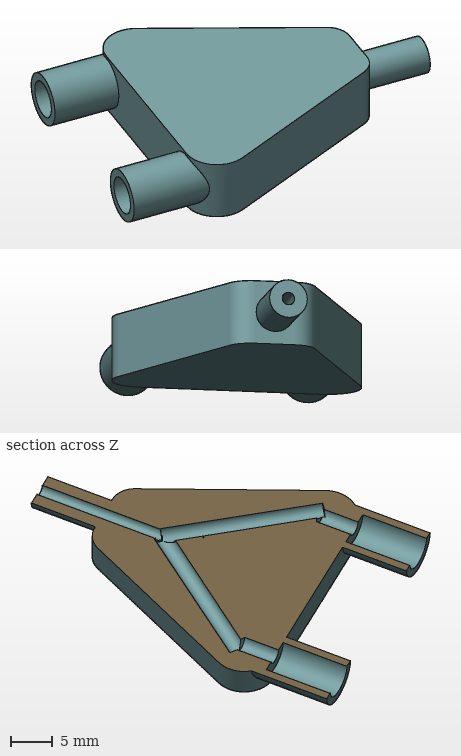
import cadquery as cq
import math

body_width = 30.3
body_thickness = 7.65
tube_length = 8.45
total_length = 45.0
body_length = total_length - 2 * tube_length
side_angle = math.radians(25)
wide_corner_radius = 4.0
narrow_corner_radius = 3.0

single_tube_diameter = 4.6
single_bore_diameter = 1.5
twin_tube_diameter = 6.6
twin_bore_diameter = 4.6
twin_tube_x = 11.0
twin_tube_z = 0.2
tube_overlap = wide_corner_radius

passage_diameter = 2.05
passage_depth = 4.5
drill_tip_slope = math.radians(31)
drill_tip_height = passage_diameter / 2 * math.tan(drill_tip_slope)
junction_y = 20.25
slant_offset = 1.0


def cylinder(start, end, diameter):
    """Solid cylinder between two points."""
    axis = cq.Vector(*end) - cq.Vector(*start)
    solid = cq.Solid.makeCylinder(diameter / 2, axis.Length, cq.Vector(*start), axis)
    return cq.Workplane(obj=solid)


def make_body():
    corner_half_angle = (math.pi / 2 - side_angle) / 2
    arc_center_x = body_width / 2 - wide_corner_radius
    wide_half = arc_center_x + wide_corner_radius / math.tan(corner_half_angle)
    narrow_half = wide_half - body_length * math.tan(side_angle)
    outline = [
        (-wide_half, 0),
        (wide_half, 0),
        (narrow_half, body_length),
        (-narrow_half, body_length),
    ]
    block = (
        cq.Workplane("XY", origin=(0, 0, -body_thickness / 2))
        .polyline(outline)
        .close()
        .extrude(body_thickness)
    )
    block = block.edges("|Z").edges("<Y").fillet(wide_corner_radius)
    return block.edges("|Z").edges(">Y").fillet(narrow_corner_radius)


def twin_passage(x):
    """Stepped bore of one twin tube, continuing at an angle to the junction."""
    bore = cylinder((x, -tube_length, twin_tube_z), (x, 0, twin_tube_z), twin_bore_diameter)
    turn = (x, passage_depth, twin_tube_z)
    straight = cylinder((x, 0, twin_tube_z), turn, passage_diameter)
    tip = cq.Workplane(
        obj=cq.Solid.makeCone(
            passage_diameter / 2, 0, drill_tip_height, cq.Vector(*turn), cq.Vector(0, 1, 0)
        )
    )
    slant_start = (x + math.copysign(slant_offset, x), passage_depth, twin_tube_z)
    slanted = cylinder(slant_start, (0, junction_y, 0), passage_diameter)
    return bore.union(straight).union(tip).union(slanted)


narrow_edge_y = body_length
tube_end_y = body_length + tube_length

result = make_body()
result = result.union(
    cylinder((0, narrow_edge_y, 0), (0, tube_end_y, 0), single_tube_diameter)
)
for x in (-twin_tube_x, twin_tube_x):
    result = result.union(
        cylinder((x, -tube_length, twin_tube_z), (x, tube_overlap, twin_tube_z), twin_tube_diameter)
    )
for x in (-twin_tube_x, twin_tube_x):
    result = result.cut(twin_passage(x))
result = result.cut(cylinder((0, junction_y, 0), (0, tube_end_y, 0), single_bore_diameter))